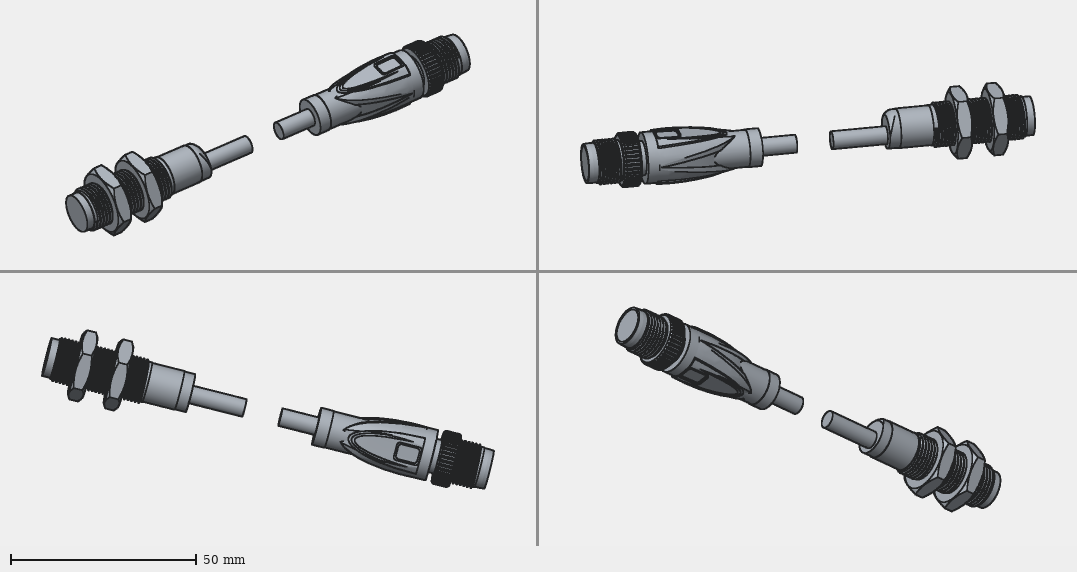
import cadquery as cq
import math

CABLE_Z = -1.7
CABLE_RADIUS = 2.5

THREAD_PITCH = 1.0
THREAD_CREST_RADIUS = 6.0
THREAD_ROOT_RADIUS = 5.5
THREAD_CREST_FLAT = 0.1
THREAD_RIDGE_BASE = 0.89
THREAD_RIDGE_OVERLAP = 0.06

TIP_RADIUS = 5.3
SLEEVE_RADIUS = 5.4
SENSOR_THREAD_START = 2.2
SENSOR_THREAD_END = 27.6
SLEEVE_START = 28.0
CAP_START = 37.0
SENSOR_END = 40.0
SENSOR_CABLE_END = 55.1
CAP_ROUND_RADIUS = 3.6
CAP_ROUND_LENGTH = 2.8

HEX_ACROSS_FLATS = 17.0
HEX_THICKNESS = 4.1
HEX_CENTRES_Y = (10.0, 20.0)
HEX_BEVEL_ANGLE = 30
HEX_FACE_RADIUS = 8.4

CONNECTOR_END = 123.2
CONNECTOR_CABLE_START = 65.0
TAIL_START = 75.2
TAIL_RING_END = 78.6
TAIL_RING_RADIUS = 5.2
TAIL_RADIUS = 5.0
COLLAR_START = 104.1
COLLAR_END = 107.2
COLLAR_RADIUS = 7.0
CORE_RADIUS = 4.7

GRIP_START = 81.9
GRIP_MIDDLE = 93.0
GRIP_MIDDLE_RADIUS = 6.8
GRIP_FRONT_RADIUS = 7.0
CREST_MIDDLE_HEIGHT = 6.3
CREST_FRONT_HEIGHT = 6.8
SIDE_TIP_Y = 81.5
SIDE_CENTRE_Y = 103.5

WEDGE_TIP_Y = 103.5
WEDGE_END_Y = 81.9
WEDGE_HALF_HEIGHT = 2.8
WEDGE_DEPTH = 0.1

PAD_STEPS = ((5.0, 84.0, 0.2), (4.3, 84.9, 0.1), (3.6, 85.7, 0.0))
PAD_HEIGHT = 0.31
PAD_SIDE_RISE = 0.4

WINDOW_STEPS = ((5.0, 6.9, 0.18), (4.2, 5.9, 0.4))
WINDOW_CENTRE_Y = 100.5
WINDOW_CORNER_RADIUS = 0.9

KNURL_START = 108.9
KNURL_END = 113.7
KNURL_RADIUS = 7.4
KNURL_CHAMFER = 0.5
KNURL_GROOVES = 40
KNURL_DEPTH = 0.4
COUPLING_THREAD_END = 120.5
COUPLING_TIP_RADIUS = 5.4
COUPLING_TIP_CHAMFER = 0.1
COUPLING_CHAMFER_LENGTH = 1.2


def cylinder(radius, start, end):
    """Cylinder about the Y axis between two Y positions."""
    return cq.Workplane("XZ", origin=(0, start, 0)).circle(radius).extrude(start - end)


def thread(start, end):
    """Threaded length about the Y axis: a root cylinder carrying one helical ridge."""
    ridge_start = start + THREAD_RIDGE_BASE / 2
    ridge_length = end - start - THREAD_RIDGE_BASE
    path = cq.Wire.makeHelix(THREAD_PITCH, ridge_length, THREAD_ROOT_RADIUS)
    ridge = (
        cq.Workplane("XZ")
        .polyline([
            (THREAD_ROOT_RADIUS - THREAD_RIDGE_OVERLAP, -THREAD_RIDGE_BASE / 2),
            (THREAD_CREST_RADIUS, -THREAD_CREST_FLAT / 2),
            (THREAD_CREST_RADIUS, THREAD_CREST_FLAT / 2),
            (THREAD_ROOT_RADIUS - THREAD_RIDGE_OVERLAP, THREAD_RIDGE_BASE / 2),
        ])
        .close()
        .sweep(cq.Workplane(path), isFrenet=True)
        .rotate((0, 0, 0), (1, 0, 0), -90)
        .translate((0, ridge_start, 0))
    )
    return cylinder(THREAD_ROOT_RADIUS, start, end).union(ridge)


def hex_nut(centre_y):
    """Hexagon with two flats level in Z and both faces bevelled at the corners."""
    corner_radius = HEX_ACROSS_FLATS / math.sqrt(3)
    bevel = (corner_radius - HEX_FACE_RADIUS) * math.tan(math.radians(HEX_BEVEL_ANGLE))
    half = HEX_THICKNESS / 2
    hexagon = cq.Workplane("XZ").polygon(6, 2 * corner_radius).extrude(half, both=True)
    envelope = (
        cq.Workplane("XY")
        .polyline([
            (0, -half),
            (HEX_FACE_RADIUS, -half),
            (corner_radius, bevel - half),
            (corner_radius, half - bevel),
            (HEX_FACE_RADIUS, half),
            (0, half),
        ])
        .close()
        .revolve(360, (0, 0), (0, 1))
    )
    return hexagon.intersect(envelope).translate((0, centre_y, 0))


def end_cap():
    """Rear cap of the sensor, rounded about the lower cable axis so that only its top is eased."""
    top_radius = TIP_RADIUS - CABLE_Z
    arc_centre = top_radius - CAP_ROUND_RADIUS
    arc_start = SENSOR_END - CAP_ROUND_LENGTH
    back_radius = arc_centre + math.sqrt(CAP_ROUND_RADIUS ** 2 - CAP_ROUND_LENGTH ** 2)
    half_length = CAP_ROUND_LENGTH / 2
    middle_radius = arc_centre + math.sqrt(CAP_ROUND_RADIUS ** 2 - half_length ** 2)
    envelope = (
        cq.Workplane("XY")
        .moveTo(0, CAP_START)
        .lineTo(top_radius, CAP_START)
        .lineTo(top_radius, arc_start)
        .threePointArc((middle_radius, arc_start + half_length), (back_radius, SENSOR_END))
        .lineTo(0, SENSOR_END)
        .close()
        .revolve(360, (0, 0), (0, 1))
        .translate((0, 0, CABLE_Z))
    )
    return cylinder(TIP_RADIUS, CAP_START, SENSOR_END).intersect(envelope)


def make_sensor():
    sensor = thread(SENSOR_THREAD_START, SENSOR_THREAD_END)
    sensor = sensor.union(cylinder(TIP_RADIUS, 0, SENSOR_THREAD_START))
    sensor = sensor.union(cylinder(SLEEVE_RADIUS, SLEEVE_START, CAP_START))
    sensor = sensor.union(cylinder(THREAD_ROOT_RADIUS, SENSOR_THREAD_END, SLEEVE_START))
    sensor = sensor.union(end_cap())
    for centre_y in HEX_CENTRES_Y:
        sensor = sensor.union(hex_nut(centre_y))
    cable = cylinder(CABLE_RADIUS, SENSOR_END, SENSOR_CABLE_END).translate((0, 0, CABLE_Z))
    return sensor.union(cable)


def half_ellipse_plan(half_width, tip_y, base_y, front_y):
    """Plan outline with an elliptical rear end at tip_y and straight sides from base_y to front_y."""
    return (
        cq.Workplane("XY")
        .moveTo(half_width, base_y)
        .ellipseArc(half_width, base_y - tip_y, 180, 360, startAtCurrent=True, sense=-1)
        .lineTo(-half_width, front_y)
        .lineTo(half_width, front_y)
        .close()
    )


def grip_profile(plane, front_radius, middle_radius):
    """Region between the axis and an arched edge that rises from the tail to the collar."""
    return (
        cq.Workplane(plane)
        .moveTo(0, GRIP_START)
        .lineTo(TAIL_RADIUS, GRIP_START)
        .threePointArc((middle_radius, GRIP_MIDDLE), (front_radius, COLLAR_START))
        .lineTo(0, COLLAR_START)
        .close()
    )


def crest_slab(half_width, depth):
    """Upper half of the grip's side outline, lowered by depth and extruded across X."""
    side_plane = cq.Plane(origin=(0, 0, 0), xDir=(0, 0, 1), normal=(-1, 0, 0))
    profile = grip_profile(side_plane, CREST_FRONT_HEIGHT, CREST_MIDDLE_HEIGHT)
    return profile.extrude(half_width, both=True).translate((0, 0, -depth))


def grip_round(rise):
    """Round form of the grip, raised outward by rise."""
    profile = grip_profile("XY", GRIP_FRONT_RADIUS + rise, GRIP_MIDDLE_RADIUS + rise)
    return profile.revolve(360, (0, 0), (0, 1))


def side_plan(inset):
    """Narrowing outline of the grip seen along Z, moved inward by inset, as a full-height prism."""
    plan = half_ellipse_plan(COLLAR_RADIUS - inset, SIDE_TIP_Y + inset, SIDE_CENTRE_Y, COLLAR_START)
    return plan.extrude(2 * COLLAR_RADIUS).translate((0, 0, -COLLAR_RADIUS))


def side_wedges():
    """Material removed from both sides of the grip to sink the wedges."""
    wedge = (
        cq.Workplane("YZ", origin=(-COLLAR_RADIUS, 0, 0))
        .polyline([
            (WEDGE_TIP_Y, 0),
            (WEDGE_END_Y, WEDGE_HALF_HEIGHT),
            (WEDGE_END_Y, -WEDGE_HALF_HEIGHT),
        ])
        .close()
        .extrude(2 * COLLAR_RADIUS)
    )
    return wedge.cut(side_plan(WEDGE_DEPTH))


def grip_pad(half_width, tip_y, depth):
    """One step of the thumb pad: flat across X and following the grip crest along Y."""
    plan = half_ellipse_plan(half_width, tip_y, SIDE_CENTRE_Y, COLLAR_START).extrude(COLLAR_RADIUS)
    return crest_slab(half_width, depth).intersect(plan).intersect(grip_round(PAD_SIDE_RISE))


def window_step(width, length, depth):
    """Rounded rectangle sunk to a constant depth below the top of the pad."""
    column = (
        cq.Workplane("XY", origin=(0, WINDOW_CENTRE_Y, 0))
        .rect(width, length)
        .extrude(COLLAR_RADIUS)
        .edges("|Z")
        .fillet(WINDOW_CORNER_RADIUS)
    )
    return column.cut(crest_slab(COLLAR_RADIUS, depth))


def grip():
    """Bulging grip narrowed at its sides, with the same thumb pad above and below."""
    crest = crest_slab(COLLAR_RADIUS, PAD_HEIGHT)
    body = grip_round(0).intersect(side_plan(0)).intersect(crest.union(crest.mirror("XY")))
    body = body.cut(side_wedges())
    for step in PAD_STEPS:
        pad = grip_pad(*step)
        body = body.union(pad).union(pad.mirror("XY"))
    for step in WINDOW_STEPS:
        window = window_step(*step)
        body = body.cut(window).cut(window.mirror("XY"))
    return body


def make_connector():
    connector = cylinder(TAIL_RADIUS, TAIL_RING_END, COLLAR_START).union(grip())
    connector = connector.union(cylinder(CABLE_RADIUS, CONNECTOR_CABLE_START, TAIL_START))
    connector = connector.union(cylinder(TAIL_RING_RADIUS, TAIL_START, TAIL_RING_END))
    connector = connector.union(cylinder(COLLAR_RADIUS, COLLAR_START, COLLAR_END))
    connector = connector.union(cylinder(CORE_RADIUS, COLLAR_END, CONNECTOR_END))
    return connector.translate((0, 0, CABLE_Z))


def knurled_ring():
    """Ring with chamfered rims and evenly spaced V grooves along Y."""
    ring = cylinder(KNURL_RADIUS, KNURL_START, KNURL_END).edges().chamfer(KNURL_CHAMFER)
    half_width = math.pi * KNURL_RADIUS / KNURL_GROOVES / 2
    groove = (
        cq.Workplane("XZ", origin=(0, KNURL_START, 0))
        .polyline([
            (KNURL_RADIUS - KNURL_DEPTH, 0),
            (KNURL_RADIUS, half_width),
            (KNURL_RADIUS + KNURL_DEPTH, half_width),
            (KNURL_RADIUS + KNURL_DEPTH, -half_width),
            (KNURL_RADIUS, -half_width),
        ])
        .close()
        .extrude(KNURL_START - KNURL_END)
    )
    pitch_angle = 360 / KNURL_GROOVES
    for index in range(KNURL_GROOVES):
        angle = (index + 0.5) * pitch_angle
        ring = ring.cut(groove.rotate((0, 0, 0), (0, 1, 0), angle))
    return ring


def make_coupling_nut():
    coupling = thread(KNURL_END, COUPLING_THREAD_END)
    tip = cylinder(COUPLING_TIP_RADIUS, COUPLING_THREAD_END, CONNECTOR_END)
    tip = tip.faces(">Y").chamfer(COUPLING_CHAMFER_LENGTH, COUPLING_TIP_CHAMFER)
    coupling = coupling.union(tip).union(knurled_ring())
    bore = cylinder(CORE_RADIUS, KNURL_START, CONNECTOR_END)
    return coupling.cut(bore).translate((0, 0, CABLE_Z))


sensor = make_sensor()
connector = make_connector()
coupling_nut = make_coupling_nut()
result = cq.Compound.makeCompound([sensor.val(), connector.val(), coupling_nut.val()])